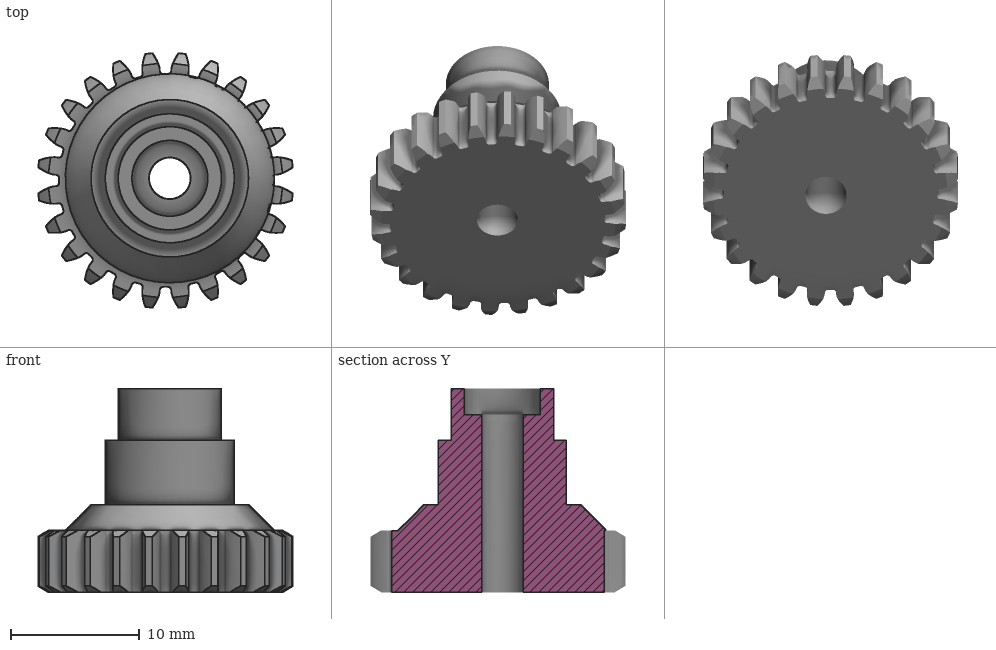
import cadquery as cq
import math

TOOTH_COUNT = 24
PITCH_RADIUS = 9.17
PRESSURE_ANGLE = math.radians(20)
TIP_RADIUS = PITCH_RADIUS * (1 + 2 / TOOTH_COUNT)
ROOT_RADIUS = 8.26
ROOT_FILLET = 0.25
GEAR_HEIGHT = 4.8
TIP_CHAMFER_HEIGHT = 0.5
TIP_CHAMFER_SLOPE = math.radians(30)
TIP_CHAMFER_DEPTH = TIP_CHAMFER_HEIGHT / math.tan(TIP_CHAMFER_SLOPE)

HUB_CENTRE = (0.34, 0.168)
CONE_BASE_DIAMETER = 16.21
CONE_HEIGHT = 2.0
COLLAR_DIAMETER = 10.0
COLLAR_HEIGHT = 5.0
NOSE_DIAMETER = 8.0
NOSE_HEIGHT = 4.0

BORE_DIAMETER = 3.2
COUNTERBORE_DIAMETER = 5.9
COUNTERBORE_DEPTH = 2.0

BASE_RADIUS = PITCH_RADIUS * math.cos(PRESSURE_ANGLE)
GAP_OUTER_RADIUS = TIP_RADIUS + 0.1
FLANK_POINTS = 8
TOOTH_PITCH = 360 / TOOTH_COUNT


def involute(angle):
    return math.tan(angle) - angle


def polar(radius, angle):
    return (radius * math.cos(angle), radius * math.sin(angle))


def gap_half_angle(radius):
    """Half the angle that a tooth gap spans at a radius on the involute flank."""
    at_pitch_circle = math.pi / (2 * TOOTH_COUNT)
    flank_angle = math.acos(min(1, BASE_RADIUS / radius))
    return at_pitch_circle + involute(flank_angle) - involute(PRESSURE_ANGLE)


def make_tooth_gap():
    """Prism filling the gap on the +X axis: involute flanks, radial below the base circle."""
    radial_step = (GAP_OUTER_RADIUS - BASE_RADIUS) / (FLANK_POINTS - 1)
    radii = [BASE_RADIUS + i * radial_step for i in range(FLANK_POINTS)]
    upper_flank = [polar(r, gap_half_angle(r)) for r in radii]
    lower_flank = [(x, -y) for x, y in upper_flank]
    root_half_angle = gap_half_angle(BASE_RADIUS)
    gap = (
        cq.Workplane("XY")
        .moveTo(*polar(ROOT_RADIUS, root_half_angle))
        .lineTo(*upper_flank[0])
        .spline(upper_flank[1:], includeCurrent=True)
        .lineTo(*lower_flank[-1])
        .spline(lower_flank[-2::-1], includeCurrent=True)
        .lineTo(*polar(ROOT_RADIUS, -root_half_angle))
        .threePointArc((ROOT_RADIUS, 0), polar(ROOT_RADIUS, root_half_angle))
        .close()
        .extrude(GEAR_HEIGHT)
    )
    root_corners = cq.selectors.BoxSelector(
        (0, -TIP_RADIUS, 0),
        ((ROOT_RADIUS + BASE_RADIUS) / 2, TIP_RADIUS, GEAR_HEIGHT),
    )
    return gap.edges("|Z").edges(root_corners).fillet(ROOT_FILLET)


def make_gear():
    """Spur gear whose tooth tips are bevelled at both ends."""
    face_radius = TIP_RADIUS - TIP_CHAMFER_DEPTH
    gear = (
        cq.Workplane("XZ")
        .moveTo(0, 0)
        .lineTo(face_radius, 0)
        .lineTo(TIP_RADIUS, TIP_CHAMFER_HEIGHT)
        .lineTo(TIP_RADIUS, GEAR_HEIGHT - TIP_CHAMFER_HEIGHT)
        .lineTo(face_radius, GEAR_HEIGHT)
        .lineTo(0, GEAR_HEIGHT)
        .close()
        .revolve(360, (0, 0), (0, 1))
    )
    gap = make_tooth_gap()
    for i in range(TOOTH_COUNT):
        gear = gear.cut(gap.rotate((0, 0, 0), (0, 0, 1), i * TOOTH_PITCH))
    return gear


def make_hub():
    """45 degree cone, collar and nose stacked on one axis above the gear."""
    cone_base_radius = CONE_BASE_DIAMETER / 2
    cone_top_radius = cone_base_radius - CONE_HEIGHT
    cone = cq.Workplane(cq.Solid.makeCone(cone_base_radius, cone_top_radius, CONE_HEIGHT))
    hub = (
        cone.faces(">Z").workplane()
        .circle(COLLAR_DIAMETER / 2).extrude(COLLAR_HEIGHT)
        .faces(">Z").workplane()
        .circle(NOSE_DIAMETER / 2).extrude(NOSE_HEIGHT)
    )
    return hub.translate((*HUB_CENTRE, GEAR_HEIGHT))


def make_bore():
    """Through bore with a counterbore in the top of the nose."""
    total_height = GEAR_HEIGHT + CONE_HEIGHT + COLLAR_HEIGHT + NOSE_HEIGHT
    bore = cq.Workplane("XY").circle(BORE_DIAMETER / 2).extrude(total_height)
    counterbore = (
        cq.Workplane("XY", origin=(0, 0, total_height))
        .circle(COUNTERBORE_DIAMETER / 2)
        .extrude(-COUNTERBORE_DEPTH)
    )
    return bore.union(counterbore).translate((*HUB_CENTRE, 0))


result = make_gear().union(make_hub()).cut(make_bore())